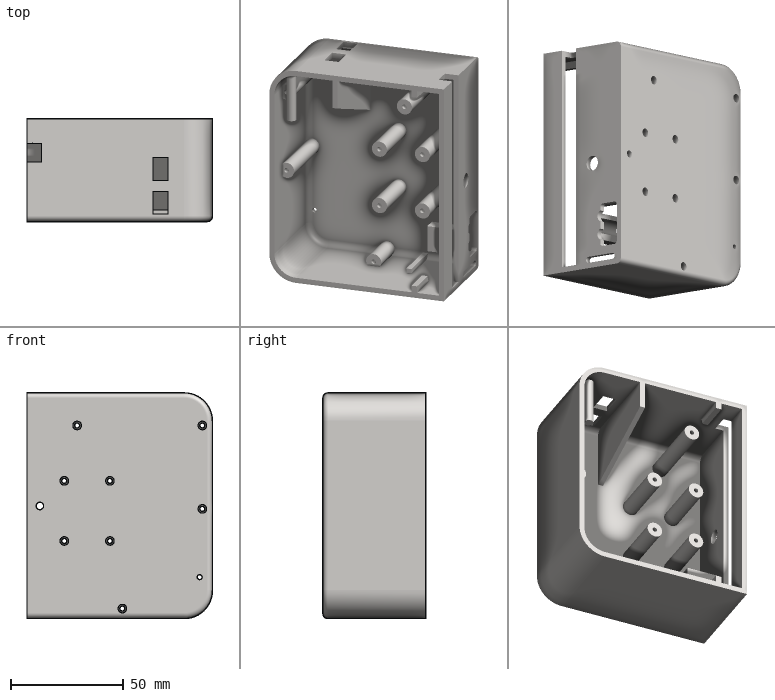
import cadquery as cq

LENGTH = 82.6
DEPTH = 45.9
HEIGHT = 100.6
WALL = 2.4
CORNER_RADIUS = 12.6
EDGE_RADIUS = 2.4
INNER_EDGE_RADIUS = 2.8
FLOOR = WALL
CEILING = HEIGHT - WALL

BOARD_BOSSES = [(16.6, 61.4), (36.9, 61.4), (16.6, 34.6), (36.9, 34.6)]
LID_BOSSES = [(22.3, 86.0), (78.0, 86.0), (78.0, 48.9)]
FLOOR_BOSSES = [(42.4, 4.5)]
BOARD_BOSS_END = 28.0
LID_BOSS_END = 35.7
FLOOR_BOSS_END = 20.1
BOSS_DIAMETER = 7.1
SCREW_DIAMETER = 2.1
HEAD_DIAMETER = 3.8
BOSS_TIP = 3.0

PLATE_HOLES = [(5.7, 50.2, 3.2), (76.8, 18.5, 2.1)]

SLOT_Y = (26.7, 34.9)
SLOT_NOTCH = 6.4
ROUND_HOLE = (16.9, 47.3)
ROUND_HOLE_DIAMETER = 6.6
SOCKET_Y = (2.4, 12.2)
SOCKET_Z = (9.1, 28.3)
SOCKET_CORNER = 1.4
SCALLOP_RADIUS = 2.7
SCALLOP_SPACING = 8.2
SCALLOP_DEPTH = 1.6
STRAP_SLOT_Y = (3.7, 20.5)
STRAP_SLOT_HEIGHT = 2.7
STRAP_SLOT_CORNER = 1.3

WINDOW_X = (56.0, 62.7)
WINDOWS_Y = [(3.5, 13.4), (18.4, 28.6)]

TAB_X = (12.7, 15.4)
TAB_START = 31.9
TAB_HEIGHT = 3.1
TAB_FILLET = 2.8
CRADLE_X_END = 17.1
CRADLE_Y = (14.1, 20.1)
CRADLE_HEIGHT = 11.9
CRADLE_GROOVE_RADIUS = 3.4
CRADLE_GROOVE_RAISE = 0.4
COLUMN = (74.6, 38.7)
COLUMN_DIAMETER = 4.3
COLUMN_Z = (74.4, 96.1)
FLOOR_RIB_X = (23.1, 25.5)
FLOOR_RIB_END = 24.1
GUSSET_X = (50.3, 52.7)
GUSSET_FRONT_Z = 69.0
GUSSET_BACK_Z = 85.2


def span_box(x_span, y_span, z_span):
    """Box between the given limits on each axis."""
    return cq.Workplane("XY").box(
        x_span[1] - x_span[0], y_span[1] - y_span[0], z_span[1] - z_span[0], centered=False
    ).translate((x_span[0], y_span[0], z_span[0]))


def y_cylinder(x, z, diameter, y_start, y_end):
    """Cylinder along Y."""
    return cq.Workplane("XZ", origin=(x, y_start, z)).circle(diameter / 2).extrude(y_start - y_end)


def x_cylinder(y, z, diameter, x_start, x_end):
    """Cylinder along X."""
    return cq.Workplane("YZ", origin=(x_start, y, z)).circle(diameter / 2).extrude(x_end - x_start)


def rounded_block(x_span, y_span, z_span, corner_radius, edge_radius):
    """Block with round corners on the +X side and a rounded rim around its front face."""
    block = span_box(x_span, y_span, z_span).edges("|Y and >X").fillet(corner_radius)
    rim = block.faces("<Y").edges("not <X")
    return rim.fillet(edge_radius)


def shell():
    outer = rounded_block((0, LENGTH), (0, DEPTH), (0, HEIGHT), CORNER_RADIUS, EDGE_RADIUS)
    cavity = rounded_block(
        (WALL, LENGTH - WALL), (WALL, DEPTH), (FLOOR, CEILING),
        CORNER_RADIUS - WALL, INNER_EDGE_RADIUS,
    )
    return outer.cut(cavity)


def boss_groups():
    return [
        (BOARD_BOSSES, BOARD_BOSS_END),
        (LID_BOSSES, LID_BOSS_END),
        (FLOOR_BOSSES, FLOOR_BOSS_END),
    ]


def add_bosses(body):
    for places, tip in boss_groups():
        for x, z in places:
            body = body.union(y_cylinder(x, z, BOSS_DIAMETER, WALL / 2, tip))
    return body


def cut_screw_holes(body):
    for places, tip in boss_groups():
        for x, z in places:
            body = body.cut(y_cylinder(x, z, SCREW_DIAMETER, 0, tip))
            body = body.cut(y_cylinder(x, z, HEAD_DIAMETER, 0, tip - BOSS_TIP))
    for x, z, diameter in PLATE_HOLES:
        body = body.cut(y_cylinder(x, z, diameter, 0, WALL + INNER_EDGE_RADIUS))
    return body


def floor_tab():
    """Tab on the floor at the back rim, with a concave fillet toward the front."""
    top = FLOOR + TAB_HEIGHT
    toe = TAB_START - TAB_FILLET
    return (
        cq.Workplane("YZ", origin=(TAB_X[0], 0, 0))
        .moveTo(toe, FLOOR)
        .radiusArc((TAB_START, FLOOR + TAB_FILLET), -TAB_FILLET)
        .lineTo(TAB_START, top)
        .lineTo(DEPTH, top)
        .lineTo(DEPTH, WALL / 2)
        .lineTo(toe, WALL / 2)
        .close()
        .extrude(TAB_X[1] - TAB_X[0])
    )


def cradle():
    """Block on the -X wall with a half-round groove behind the socket opening."""
    middle = sum(SOCKET_Z) / 2
    half = CRADLE_HEIGHT / 2
    block = span_box((WALL / 2, CRADLE_X_END), CRADLE_Y, (middle - half, middle + half))
    groove_z = middle + CRADLE_GROOVE_RAISE
    return block.cut(x_cylinder(CRADLE_Y[0], groove_z, 2 * CRADLE_GROOVE_RADIUS, 0, CRADLE_X_END))


def gusset():
    """Plate hanging from the top wall, its lower edge rising toward the back."""
    top = HEIGHT - WALL / 2
    return (
        cq.Workplane("YZ", origin=(GUSSET_X[0], 0, 0))
        .polyline([(WALL / 2, top), (WALL / 2, GUSSET_FRONT_Z), (DEPTH, GUSSET_BACK_Z), (DEPTH, top)])
        .close()
        .extrude(GUSSET_X[1] - GUSSET_X[0])
    )


def add_inner_details(body):
    tab = floor_tab()
    ceiling_tab = tab.mirror("XY", (0, 0, HEIGHT / 2))
    column_base = cq.Workplane("XY", origin=(*COLUMN, COLUMN_Z[0])).circle(COLUMN_DIAMETER / 2)
    column = column_base.extrude(COLUMN_Z[1] - COLUMN_Z[0])
    floor_rib = span_box(FLOOR_RIB_X, (WALL / 2, FLOOR_RIB_END), (FLOOR / 2, 2 * FLOOR))
    for detail in (tab, ceiling_tab, cradle(), column, floor_rib, gusset()):
        body = body.union(detail)
    return body


def socket_cutter():
    """Rounded rectangle through the -X wall with two scallops on its back side."""
    middle = sum(SOCKET_Z) / 2
    cutter = span_box((0, WALL), SOCKET_Y, SOCKET_Z).edges("|X").fillet(SOCKET_CORNER)
    scallop_y = SOCKET_Y[1] + SCALLOP_DEPTH - SCALLOP_RADIUS
    for side in (-1, 1):
        z = middle + side * SCALLOP_SPACING / 2
        cutter = cutter.union(x_cylinder(scallop_y, z, 2 * SCALLOP_RADIUS, 0, WALL))
    return cutter


def cut_side_openings(body):
    tall_slot = span_box((0, WALL), SLOT_Y, (FLOOR, HEIGHT))
    top_notch = span_box((0, SLOT_NOTCH), SLOT_Y, (CEILING, HEIGHT))
    round_hole = x_cylinder(*ROUND_HOLE, ROUND_HOLE_DIAMETER, 0, WALL)
    strap_slot = span_box((0, WALL), STRAP_SLOT_Y, (FLOOR, FLOOR + STRAP_SLOT_HEIGHT))
    strap_slot = strap_slot.edges("|X").fillet(STRAP_SLOT_CORNER)
    for cutter in (tall_slot, top_notch, round_hole, strap_slot, socket_cutter()):
        body = body.cut(cutter)
    return body


def cut_windows(body):
    for y_span in WINDOWS_Y:
        body = body.cut(span_box(WINDOW_X, y_span, (CEILING, HEIGHT)))
    return body


result = shell()
result = add_bosses(result)
result = add_inner_details(result)
result = cut_screw_holes(result)
result = cut_side_openings(result)
result = cut_windows(result)